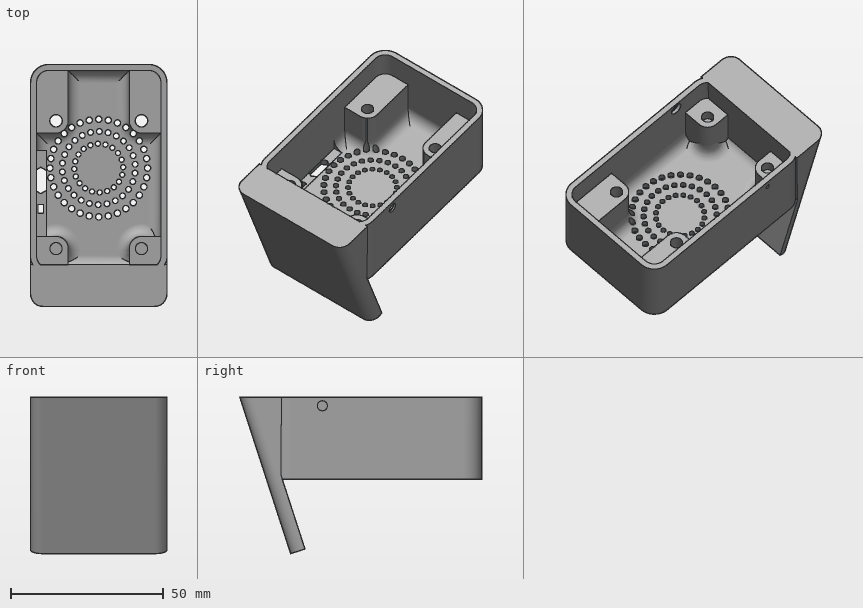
import cadquery as cq
import math

box_width = 44.76
box_length = 68.76
box_height = 27.0
box_corner_radius = 6.0
wall = 2.0
floor = 2.35
base_fillet = 4.0
rear_y = 34.0
front_y = rear_y - box_length
side_x = box_width / 2

cavity_width = box_width - 2 * wall
cavity_length = box_length - 2 * wall
cavity_corner_radius = box_corner_radius - wall
cavity_side_x = side_x - wall
cavity_rear_y = rear_y - wall
cavity_front_y = front_y + wall
box_center_y = (rear_y + front_y) / 2

post_radius = 4.0
post_x = 14.0
rear_post_y = 15.48
front_post_y = -26.4
post_top = 17.6
screw_hole_diameter = 4.0
front_hole_depth = 4.0

overall_length = 79.37
plate_tilt = math.radians(18)
plate_length = 54.0
plate_thickness = 5.0
plate_corner_radius = 4.0
plate_top_y = rear_y - overall_length
plate_inner_top_y = plate_top_y + plate_thickness / math.cos(plate_tilt)

wedge_top_y = -31.65
wedge_apex_y = -31.9
wedge_apex_z = box_height - (wedge_apex_y - plate_inner_top_y) / math.tan(plate_tilt)

grille_rings = [
    (16.0, 32, 2.0, 0.0),
    (12.0, 26, 1.8, 6.0),
    (8.0, 20, 1.6, 2.1),
]

pocket_inner_x = -17.2
pocket_rear_y = 5.8
pocket_front_y = front_post_y + post_radius
opening_x = -19.0
slot_diameter = 4.2
slot_length = 8.6
slot_y = -4.05
window_width = 1.7
window_length = 2.8
window_y = -13.35

side_hole_y = -18.27
side_hole_z = 24.15
blind_hole_diameter = 1.4
blind_hole_depth = 1.0
through_hole_diameter = 3.3
recess_diameter = 4.2
recess_depth = 1.2

arc_inset = 1 - math.sqrt(0.5)


def rounded_block(width, length, corner_radius, bottom_z):
    """Block centred on the box, with rounded upright edges, reaching up to the rim."""
    return (
        cq.Workplane("XY", origin=(0, box_center_y, bottom_z))
        .rect(width, length)
        .extrude(box_height - bottom_z)
        .edges("|Z")
        .fillet(corner_radius)
    )


def make_post(side, hole_y, end_y):
    """Block from a cavity corner to its screw hole; side is the sign of X, end_y the wall it meets."""
    inward = math.copysign(1, hole_y - end_y)
    edge_y = hole_y + inward * post_radius
    inner_x = side * (post_x - post_radius)
    arc_middle = (
        inner_x + side * post_radius * arc_inset,
        edge_y - inward * post_radius * arc_inset,
    )
    return (
        cq.Workplane("XY", origin=(0, 0, floor))
        .moveTo(side * cavity_side_x, end_y)
        .lineTo(side * cavity_side_x, edge_y)
        .lineTo(side * post_x, edge_y)
        .threePointArc(arc_middle, (inner_x, hole_y))
        .lineTo(inner_x, end_y)
        .close()
        .extrude(post_top - floor)
    )


def make_cavity():
    """Hollow of the box around the rear posts, with its floor edges rounded."""
    cavity = rounded_block(cavity_width, cavity_length, cavity_corner_radius, floor)
    for side in (-1, 1):
        cavity = cavity.cut(make_post(side, rear_post_y, cavity_rear_y))
    fillet_radius = base_fillet - 0.001
    return cavity.faces("<Z").edges().fillet(fillet_radius)


def make_flare():
    """Round flared foot of a front post, about the Z axis and standing on the floor."""
    flare_top = floor + base_fillet
    arc_middle = (post_radius + base_fillet * arc_inset, floor + base_fillet * arc_inset)
    return (
        cq.Workplane("XZ")
        .moveTo(0, floor)
        .lineTo(post_radius + base_fillet, floor)
        .threePointArc(arc_middle, (post_radius, flare_top))
        .lineTo(0, flare_top)
        .close()
        .revolve(360, (0, 0), (0, 1))
    )


def make_front_post(side):
    post = make_post(side, front_post_y, cavity_front_y)
    return post.union(make_flare().translate((side * post_x, front_post_y, 0)))


def extrude_across(points):
    """Extrude a (Y, Z) outline over the full width of the box."""
    return cq.Workplane("YZ").polyline(points).close().extrude(side_x, both=True)


def make_plate():
    """Slanted plate with a level top edge, rounded along both sides of its outer face."""
    sin_tilt = math.sin(plate_tilt)
    cos_tilt = math.cos(plate_tilt)
    bottom_y = plate_top_y + plate_length * sin_tilt
    bottom_z = box_height - plate_length * cos_tilt
    plate = extrude_across([
        (plate_top_y, box_height),
        (bottom_y, bottom_z),
        (bottom_y + plate_thickness * cos_tilt, bottom_z + plate_thickness * sin_tilt),
        (plate_inner_top_y, box_height),
    ])
    outward = cq.Vector(0, -cos_tilt, -sin_tilt)
    along_slope = cq.Vector(0, sin_tilt, -cos_tilt)
    outer_face = plate.faces(cq.selectors.DirectionMinMaxSelector(outward))
    return outer_face.edges(cq.selectors.ParallelDirSelector(along_slope)).fillet(plate_corner_radius)


def make_wedge():
    return extrude_across([
        (plate_inner_top_y, box_height),
        (wedge_apex_y, wedge_apex_z),
        (wedge_top_y, box_height),
    ])


def make_grille():
    """Upright pins for the grille holes, tall enough to graze the rear posts over their full height."""
    pins = cq.Workplane("XY")
    for radius, count, diameter, start_angle in grille_rings:
        ring = cq.Workplane("XY").polarArray(radius, start_angle, 360, count)
        pins = pins.add(ring.circle(diameter / 2).extrude(post_top))
    return pins.combine()


def make_screw_hole(side, hole_y, depth):
    """Cylinder reaching down from the top of a post."""
    hole = cq.Workplane("XY", origin=(side * post_x, hole_y, post_top - depth))
    return hole.circle(screw_hole_diameter / 2).extrude(depth)


def make_connector_pocket():
    """Pocket that clears the floor fillet beside the -X wall."""
    return (
        cq.Workplane("XY", origin=(-cavity_side_x, pocket_front_y, floor))
        .box(
            pocket_inner_x + cavity_side_x,
            pocket_rear_y - pocket_front_y,
            base_fillet,
            centered=False,
        )
    )


def make_connector_slot():
    """Slot through the floor with the pointed ends of a hexagon stretched along Y."""
    tip_y = slot_length / 2
    shoulder_y = tip_y - slot_diameter / 4
    half_width = slot_diameter / 2 * math.cos(math.radians(30))
    return (
        cq.Workplane("XY", origin=(opening_x, slot_y, 0))
        .polyline([
            (0, tip_y),
            (half_width, shoulder_y),
            (half_width, -shoulder_y),
            (0, -tip_y),
            (-half_width, -shoulder_y),
            (-half_width, shoulder_y),
        ])
        .close()
        .extrude(floor)
    )


def make_window():
    """Small rectangular opening through the floor."""
    window = cq.Workplane("XY", origin=(opening_x, window_y, 0))
    return window.rect(window_width, window_length).extrude(floor)


def make_side_hole(diameter, start_x, depth):
    """Cylinder along +X from start_x."""
    hole = cq.Workplane("YZ", origin=(start_x, side_hole_y, side_hole_z))
    return hole.circle(diameter / 2).extrude(depth)


result = rounded_block(box_width, box_length, box_corner_radius, 0).cut(make_cavity())
result = result.union(make_wedge()).union(make_plate())
for side in (-1, 1):
    result = result.union(make_front_post(side))

result = result.cut(make_grille())
for side in (-1, 1):
    result = result.cut(make_screw_hole(side, rear_post_y, post_top))
    result = result.cut(make_screw_hole(side, front_post_y, front_hole_depth))

result = result.cut(make_connector_pocket()).cut(make_connector_slot()).cut(make_window())
result = result.cut(make_side_hole(blind_hole_diameter, -side_x, blind_hole_depth))
result = result.cut(make_side_hole(recess_diameter, cavity_side_x, recess_depth))
result = result.cut(make_side_hole(through_hole_diameter, cavity_side_x, wall))